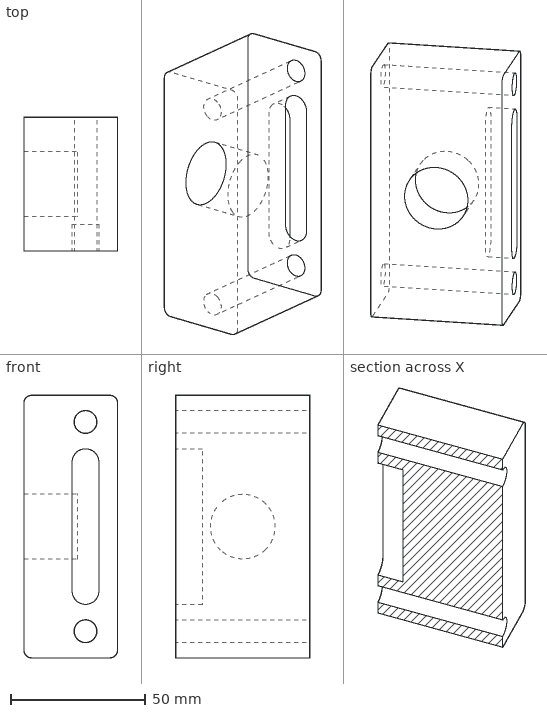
import cadquery as cq

WIDTH = 35.0
DEPTH = 50.0
HEIGHT = 98.0
CORNER_RADIUS = 3.0

HOLE_LINE_OFFSET = 23.0
HOLE_LINE_X = HOLE_LINE_OFFSET - WIDTH / 2
HOLE_DIAMETER = 8.4
HOLE_SPACING = 78.0
SLOT_WIDTH = 10.0
SLOT_LENGTH = 58.0
SLOT_DEPTH = 10.0

BORE_DIAMETER = 24.12
BORE_DEPTH = 20.0


def make_block():
    """Block with its four edges along Y rounded."""
    block = cq.Workplane("XY").box(WIDTH, DEPTH, HEIGHT)
    return block.edges("|Y").fillet(CORNER_RADIUS)


def front_plane():
    """Workplane on the -Y face, on the hole line; its normal points out along -Y."""
    return cq.Workplane("XZ", origin=(HOLE_LINE_X, -DEPTH / 2, 0))


def make_through_holes():
    """Two cylinders running the full depth of the block."""
    centres = [(0, -HOLE_SPACING / 2), (0, HOLE_SPACING / 2)]
    return front_plane().pushPoints(centres).circle(HOLE_DIAMETER / 2).extrude(-DEPTH)


def make_slot():
    """Blind vertical slot with round ends."""
    return front_plane().slot2D(SLOT_LENGTH, SLOT_WIDTH, 90).extrude(-SLOT_DEPTH)


def make_bore():
    """Blind round bore entering from the -X face."""
    plane = cq.Workplane("YZ", origin=(-WIDTH / 2, 0, 0))
    return plane.circle(BORE_DIAMETER / 2).extrude(BORE_DEPTH)


result = make_block().cut(make_through_holes()).cut(make_slot()).cut(make_bore())